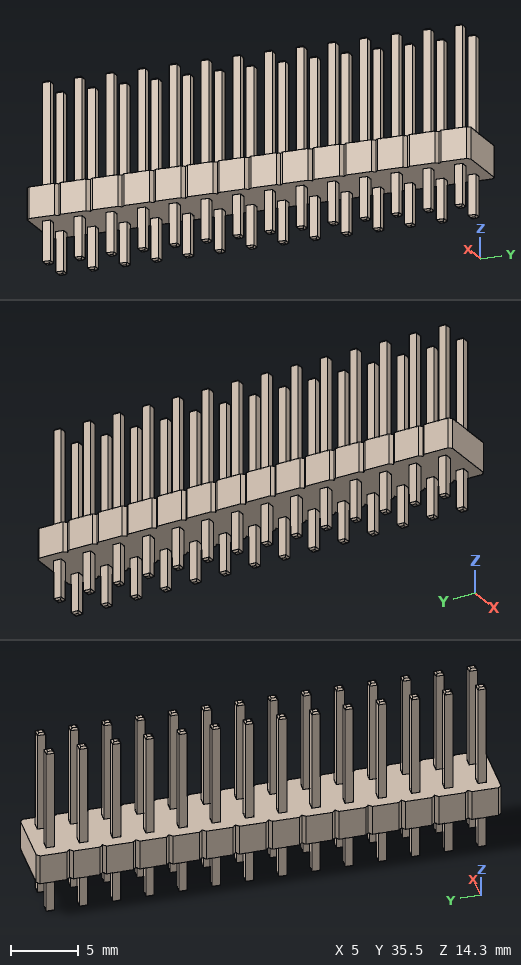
import cadquery as cq


pins_per_row = 14
row_count = 2
housing_length = 35.55
pitch = housing_length / pins_per_row

housing_width = 5.0
housing_height = 2.5
corner_chamfer = 0.25

pin_side = 0.65
pin_above_housing = 8.5
pin_below_housing = 3.3
pin_length = pin_below_housing + housing_height + pin_above_housing
pin_tip_chamfer = 0.15


def grid_offset(index, count):
    """Position of one item in a row of pitch-spaced items centred on zero."""
    return (index - (count - 1) / 2) * pitch


def housing_outline():
    """Corners of the housing: one chamfered cell per pin pair, joined end to end."""
    side_x = housing_width / 2
    inner_x = side_x - corner_chamfer
    flat_half = pitch / 2 - corner_chamfer

    right_edge = [(inner_x, -housing_length / 2)]
    for index in range(pins_per_row):
        cell_y = grid_offset(index, pins_per_row)
        right_edge += [
            (side_x, cell_y - flat_half),
            (side_x, cell_y + flat_half),
            (inner_x, cell_y + pitch / 2),
        ]
    left_edge = [(-x, y) for x, y in reversed(right_edge)]
    return right_edge + left_edge


def make_housing():
    return cq.Workplane("XY").polyline(housing_outline()).close().extrude(housing_height)


def make_pin():
    """Square pin with all four edges chamfered at both tips."""
    pin = cq.Workplane("XY", origin=(0, 0, -pin_below_housing))
    pin = pin.rect(pin_side, pin_side).extrude(pin_length)
    return pin.faces("<Z or >Z").chamfer(pin_tip_chamfer)


result = make_housing()
pin = make_pin()
for row in range(row_count):
    for position in range(pins_per_row):
        pin_x = grid_offset(row, row_count)
        pin_y = grid_offset(position, pins_per_row)
        result = result.union(pin.translate((pin_x, pin_y, 0)))